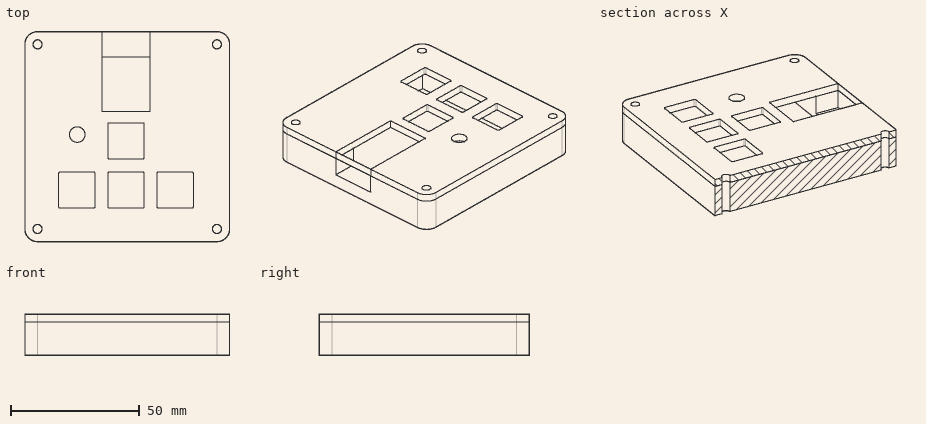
import cadquery as cq

LENGTH_X = 79.6
LENGTH_Y = 81.6
CORNER_RADIUS = 5.0
LID_THICKNESS = 3.0
BASE_HEIGHT = 13.0

WALL = 9.95
FLOOR = 3.0

SCREW_DIAMETER = 3.4
SCREW_SPACING_X = LENGTH_X - 2 * CORNER_RADIUS
SCREW_SPACING_Y = LENGTH_Y - 2 * CORNER_RADIUS

KEY_SIZE = 14.0
KEY_CORNER_RADIUS = 0.5
KEY_PITCH = 19.1
KEY_CENTRE_X = -0.5
KEY_ROW_Y = -20.7
KEY_GRID = [(-1, 0), (0, 0), (1, 0), (0, 1)]

KNOB_DIAMETER = 6.0
KNOB_X = -19.4
KNOB_Y = 0.8

BOARD_WIDTH = 18.5
BOARD_FRONT_Y = 9.8
BOARD_BACK_LIP = 0.1
CHANNEL_FLOOR = 5.5


def rounded_plate(bottom, height):
    """Plate with the shared outline and the four corner screw holes."""
    return (
        cq.Workplane("XY", origin=(0, 0, bottom))
        .rect(LENGTH_X, LENGTH_Y)
        .extrude(height)
        .edges("|Z")
        .fillet(CORNER_RADIUS)
        .faces(">Z")
        .workplane(origin=(0, 0, bottom + height))
        .rect(SCREW_SPACING_X, SCREW_SPACING_Y, forConstruction=True)
        .vertices()
        .hole(SCREW_DIAMETER)
    )


def board_cutter(front_y, back_y, bottom, height):
    """Block as wide as the board, between two Y positions."""
    return (
        cq.Workplane("XY", origin=(KEY_CENTRE_X, (front_y + back_y) / 2, bottom))
        .rect(BOARD_WIDTH, back_y - front_y)
        .extrude(height)
    )


def make_base():
    """Open tray with thick walls and a channel through the back wall."""
    cavity = (
        cq.Workplane("XY", origin=(0, 0, FLOOR))
        .rect(LENGTH_X - 2 * WALL, LENGTH_Y - 2 * WALL)
        .extrude(BASE_HEIGHT - FLOOR)
    )
    channel = board_cutter(
        LENGTH_Y / 2 - WALL, LENGTH_Y / 2, CHANNEL_FLOOR, BASE_HEIGHT - CHANNEL_FLOOR
    )
    return rounded_plate(0, BASE_HEIGHT).cut(cavity).cut(channel)


def make_lid():
    """Flat lid with key windows, a round opening and the board window."""
    key_centres = [
        (KEY_CENTRE_X + column * KEY_PITCH, KEY_ROW_Y + row * KEY_PITCH)
        for column, row in KEY_GRID
    ]
    key_windows = (
        cq.Workplane("XY", origin=(0, 0, BASE_HEIGHT))
        .pushPoints(key_centres)
        .rect(KEY_SIZE, KEY_SIZE)
        .extrude(LID_THICKNESS)
        .edges("|Z")
        .fillet(KEY_CORNER_RADIUS)
    )
    knob_opening = (
        cq.Workplane("XY", origin=(KNOB_X, KNOB_Y, BASE_HEIGHT))
        .circle(KNOB_DIAMETER / 2)
        .extrude(LID_THICKNESS)
    )
    board_window = board_cutter(
        BOARD_FRONT_Y, LENGTH_Y / 2 - BOARD_BACK_LIP, BASE_HEIGHT, LID_THICKNESS
    )
    plate = rounded_plate(BASE_HEIGHT, LID_THICKNESS)
    return plate.cut(key_windows).cut(knob_opening).cut(board_window)


base = make_base()
lid = make_lid()

result = cq.Compound.makeCompound([base.val(), lid.val()])